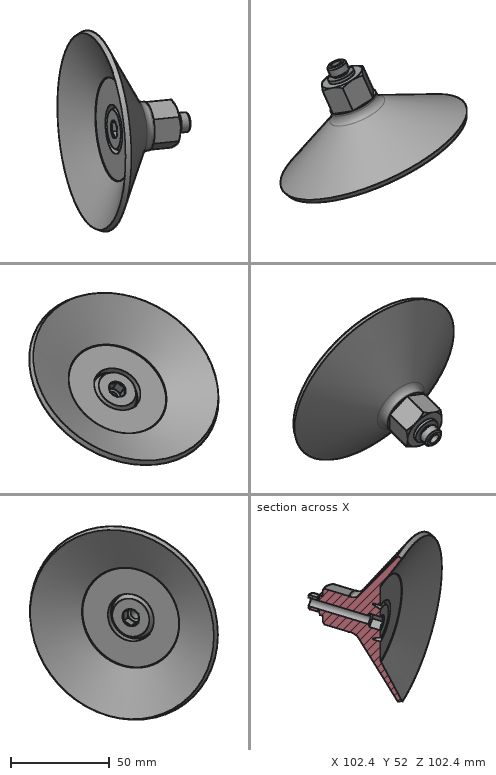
import cadquery as cq
import math


rim_radius = 51.2
lip_radius = 50.0
rim_height = 2.7
shoulder_radius = 15.1
shoulder_height = 24.3
collar_radius = 25.0 / 2
collar_height = 29.6
collar_straight = 0.9

plate_height = 12.1
plate_radius = 26.2
plate_edge = 0.3

recess_radius = 25.0 / 2
head_base_radius = 24.0 / 2
head_top_radius = 20.1 / 2
head_depth = 4.1

socket_flats = 8.0
socket_depth = 6.1
socket_mouth_angle = 50.0
drill_tip_depth = 0.7
bore_radius = 5.5 / 2

nut_flats = 22.0
nut_top = 44.1
nut_chamfer_angle = 30.0

washer_radius = 14.0 / 2
washer_top_radius = 11.6 / 2
washer_side_top = 45.7
washer_top = 46.0
stem_radius = 5.1
neck_radius = 4.3
neck_top = 46.9
total_height = 52.0
stem_chamfer = stem_radius - neck_radius


def corner_radius_of(flats):
    return flats / 2 / math.cos(math.radians(30))


def revolve(outline):
    """Turn a closed (radius, y) outline about the Y axis."""
    return outline.close().revolve(360, (0, 0, 0), (0, 1, 0))


def turned(points):
    return revolve(cq.Workplane("XY").polyline(points))


def hexagon(flats, bottom, top):
    """Hexagonal prism along Y with two corners on the Z axis."""
    return (
        cq.Workplane("XZ", origin=(0, bottom, 0))
        .transformed(rotate=(0, 0, 90))
        .polygon(6, 2 * corner_radius_of(flats))
        .extrude(bottom - top)
    )


def make_cup():
    outline = (
        cq.Workplane("XY")
        .moveTo(0, plate_height)
        .lineTo(plate_radius, plate_height)
        .lineTo(plate_radius + plate_edge, plate_height - plate_edge)
        .lineTo(lip_radius, 0)
        .lineTo(rim_radius, rim_height)
        .lineTo(shoulder_radius, shoulder_height)
        .tangentArcPoint((collar_radius, collar_height - collar_straight), relative=False)
        .lineTo(collar_radius, collar_height)
        .lineTo(0, collar_height)
    )
    return revolve(outline)


def make_head_groove():
    groove_top = plate_height + head_depth
    return turned([
        (head_top_radius, plate_height),
        (recess_radius, plate_height),
        (recess_radius, groove_top),
        (head_base_radius, groove_top),
    ])


def make_nut():
    corner_radius = corner_radius_of(nut_flats)
    flat_radius = nut_flats / 2
    drop = (corner_radius - flat_radius) * math.tan(math.radians(nut_chamfer_angle))
    envelope = turned([
        (0, collar_height),
        (corner_radius, collar_height),
        (corner_radius, nut_top - drop),
        (flat_radius, nut_top),
        (0, nut_top),
    ])
    return hexagon(nut_flats, collar_height, nut_top).intersect(envelope)


def make_stem():
    return turned([
        (0, nut_top),
        (washer_radius, nut_top),
        (washer_radius, washer_side_top),
        (washer_top_radius, washer_top),
        (neck_radius, washer_top),
        (neck_radius, neck_top),
        (stem_radius, neck_top),
        (stem_radius, total_height - stem_chamfer),
        (stem_radius - stem_chamfer, total_height),
        (0, total_height),
    ])


def make_socket():
    """Hexagon with a countersunk mouth, ending in a drill cone that narrows to the bore."""
    mouth_radius = corner_radius_of(socket_flats)
    flat_radius = socket_flats / 2
    mouth_depth = (mouth_radius - flat_radius) * math.tan(math.radians(socket_mouth_angle))
    socket_bottom = plate_height + socket_depth
    core = turned([
        (0, plate_height),
        (mouth_radius, plate_height),
        (flat_radius, plate_height + mouth_depth),
        (flat_radius, socket_bottom),
        (bore_radius, socket_bottom + drill_tip_depth),
        (bore_radius, total_height),
        (0, total_height),
    ])
    return core.union(hexagon(socket_flats, plate_height, socket_bottom))


body = make_cup().union(make_nut()).union(make_stem())
result = body.cut(make_head_groove()).cut(make_socket())